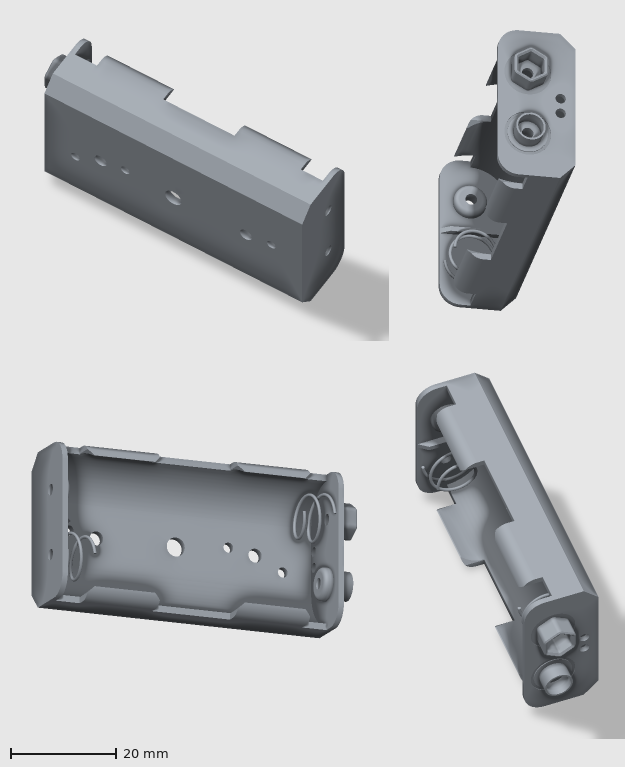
import cadquery as cq
import math


contact_y = 9.2
contact_z = 6.4
cell_radius = 7.6
bore_radius = 1.1

length = 58.0
width = 30.5
height = 15.0
end_wall = 1.1
floor_chamfer = 3.0
end_wall_fillet = 4.0
floor = contact_y - cell_radius
inner_length = length - 2 * end_wall
inner_face_x = inner_length / 2

lip_height = 13.5
lip_fillet = 3.0
lip_reach = 2.4
lip_corner_chamfer = 1.25
lip_length = 14.9
lip_center_x = 15.5
low_wall_height = 9.05

rib_thickness = 1.0
rib_reach = 1.4
rib_drop = 1.85

screw_radius = 1.85
mount_radius = 1.35
mount_x = 16.35
wire_radius = 1.0
wire_x = 22.05
inner_wire_x = 10.85
wire_z = 1.0
low_wire_z = 2.7
floor_holes = [
    (screw_radius, 0, 0),
    (mount_radius, -mount_x, 0),
    (mount_radius, mount_x, 0),
    (wire_radius, -inner_wire_x, wire_z),
    (wire_radius, wire_x, wire_z),
    (wire_radius, -wire_x, -low_wire_z),
]

end_wire_y = 2.85
end_wire_z = 1.55

flange_radius = 4.5
flange_seat_depth = 0.5
flange_thickness = 0.3

socket_length = 3.9
socket_across_flats = 6.5
socket_wall = 0.75
socket_corner_radius = 1.0
socket_pocket_corner_radius = 0.45
socket_outer_chamfer = 0.25
socket_inner_chamfer = 0.4

stud_length = 3.15
stud_radius = 2.85
stud_inner_radius = 2.5
stud_pad_radius = 3.9

button_radius = 3.2
button_height = 1.75
button_fillet = 0.9

spring_wire_radius = 0.3
spring_base_radius = 4.75
spring_pitch = 3.05
spring_turns = 2
spring_radius_loss = 0.4


def block(x_size, y_range, z_size, x_center=0):
    """Box centred on Z that spans y_range."""
    bottom, top = y_range
    box = cq.Workplane("XY").box(x_size, top - bottom, z_size)
    return box.translate((x_center, (bottom + top) / 2, 0))


def rounded_block(x_size, y_range, z_size, chamfer, fillet):
    """Box with its two floor edges chamfered and its two open-side edges rounded."""
    body = block(x_size, y_range, z_size)
    return body.edges("|X and <Y").chamfer(chamfer).edges("|X and >Y").fillet(fillet)


def x_cylinder(radius, start_x, end_x, y, z):
    return cq.Workplane("YZ", origin=(start_x, y, z)).circle(radius).extrude(end_x - start_x)


def lip_notches():
    """Gaps in the upper side walls, which leave two lips on each side."""
    outer_end = lip_center_x + lip_length / 2
    inner_end = lip_center_x - lip_length / 2
    end_gap = inner_face_x - outer_end
    span = (low_wall_height, height)
    notches = block(2 * inner_end, span, width)
    for side in (-1, 1):
        notches = notches.union(block(end_gap, span, width, side * (outer_end + end_gap / 2)))
    return notches


def lip_opening():
    """Opening between facing lips, widened at the ends of each lip to chamfer its corners."""
    opening_width = width - 2 * lip_reach
    span = (low_wall_height, height)
    opening = block(inner_length, span, opening_width)
    for lip_x in (-lip_center_x, lip_center_x):
        window = block(lip_length, span, width, lip_x)
        for side in (-1, 1):
            center_z = side * width / 2
            lip = block(lip_length, span, 2 * lip_reach, lip_x).edges("|Y").chamfer(lip_corner_chamfer)
            window = window.cut(lip.translate((0, 0, center_z)))
        opening = opening.union(window)
    return opening


def cell_cavity():
    """Space for both cells: round along the side walls and flat over the middle of the floor."""
    cavity = block(inner_length, (floor, lip_height), 2 * contact_z)
    for side in (-1, 1):
        channel = x_cylinder(cell_radius, -inner_face_x, inner_face_x, contact_y, side * contact_z)
        cavity = cavity.union(channel)
    return cavity


def trough():
    """Floor and side walls with the lips."""
    outer = rounded_block(inner_length, (0, lip_height), width, floor_chamfer, lip_fillet)
    return outer.cut(cell_cavity()).cut(lip_opening()).cut(lip_notches())


def end_walls():
    profile = rounded_block(length, (0, height), width, floor_chamfer, end_wall_fillet)
    return profile.cut(block(inner_length, (0, height), width))


def rib():
    tip_x = inner_face_x - rib_reach
    return (
        cq.Workplane("XY")
        .moveTo(inner_face_x, floor)
        .lineTo(inner_face_x, height)
        .lineTo(tip_x, height - rib_drop)
        .lineTo(tip_x, floor)
        .close()
        .extrude(rib_thickness / 2, both=True)
    )


def make_housing():
    body = trough().union(end_walls()).union(rib())
    for radius, x, z in floor_holes:
        body = body.cut(cq.Workplane("XZ", origin=(x, 0, z)).circle(radius).extrude(-floor))
    seat_x = -length / 2 + flange_seat_depth
    for side in (-1, 1):
        body = body.cut(
            x_cylinder(wire_radius, -length / 2, -inner_face_x, end_wire_y, side * end_wire_z)
        )
        body = body.cut(x_cylinder(flange_radius, -length / 2, seat_x, contact_y, side * contact_z))
        body = body.cut(x_cylinder(bore_radius, -length / 2, length / 2, contact_y, side * contact_z))
    return body.cut(x_cylinder(stud_radius, -length / 2, -inner_face_x, contact_y, -contact_z))


def hex_prism(across_flats, start_x, end_x):
    return (
        cq.Workplane("YZ", origin=(start_x, contact_y, contact_z))
        .transformed(rotate=(0, 0, 90))
        .polygon(6, across_flats / math.cos(math.pi / 6))
        .extrude(end_x - start_x)
    )


def make_socket_terminal():
    """Hexagonal snap socket on a round flange."""
    tip_x = -length / 2 - socket_length
    seat_x = -length / 2 + flange_seat_depth
    flange_face_x = seat_x - flange_thickness
    inner_flats = socket_across_flats - 2 * socket_wall
    socket = hex_prism(socket_across_flats, tip_x, flange_face_x)
    socket = socket.edges("|X").fillet(socket_corner_radius)
    socket = socket.faces("<X").chamfer(socket_outer_chamfer)
    pocket = hex_prism(inner_flats, tip_x, flange_face_x)
    socket = socket.cut(pocket.edges("|X").fillet(socket_pocket_corner_radius))
    mouth = socket.faces("<X").val().innerWires()
    socket = socket.newObject(mouth).chamfer(socket_inner_chamfer)
    flange = x_cylinder(flange_radius, flange_face_x, seat_x, contact_y, contact_z)
    bore = x_cylinder(bore_radius, flange_face_x, seat_x, contact_y, contact_z)
    return socket.union(flange).cut(bore)


def make_button(z, wall_x, direction):
    """Bored contact button that stands on a wall face and points along X in the given direction."""
    button = cq.Workplane("YZ", origin=(wall_x, contact_y, z)).circle(button_radius)
    button = button.extrude(direction * button_height)
    tip = ">X" if direction > 0 else "<X"
    button = button.faces(tip).edges().fillet(button_fillet)
    return button.cut(x_cylinder(bore_radius, -length / 2, length / 2, contact_y, z))


def make_stud_terminal():
    """Round snap stud whose shank passes through the end wall to a contact button."""
    outer_x = -length / 2
    seat_x = outer_x + flange_seat_depth
    z = -contact_z
    body = x_cylinder(stud_radius, outer_x - stud_length, -inner_face_x, contact_y, z)
    body = body.union(x_cylinder(flange_radius, seat_x - flange_thickness, seat_x, contact_y, z))
    body = body.union(x_cylinder(stud_pad_radius, outer_x, seat_x, contact_y, z))
    body = body.cut(x_cylinder(stud_inner_radius, outer_x - stud_length, outer_x, contact_y, z))
    body = body.cut(x_cylinder(bore_radius, outer_x, -inner_face_x, contact_y, z))
    return body.union(make_button(z, -inner_face_x, 1))


def make_spring():
    """Conical spring on the -X end wall."""
    taper = math.degrees(math.atan(spring_radius_loss / spring_pitch))
    path = cq.Wire.makeHelix(
        spring_pitch, spring_turns * spring_pitch, spring_base_radius, angle=-taper
    )
    spring = (
        cq.Workplane("XZ", origin=(spring_base_radius, 0, 0))
        .circle(spring_wire_radius)
        .sweep(cq.Workplane(path), isFrenet=True)
    )
    spring = spring.rotate((0, 0, 0), (0, 1, 0), 90).rotate((0, 0, 0), (1, 0, 0), 90)
    return spring.translate((-inner_face_x + spring_wire_radius, contact_y, contact_z))


housing = make_housing()
socket_terminal = make_socket_terminal()
stud_terminal = make_stud_terminal()
button = make_button(contact_z, inner_face_x, -1)

springs = [make_spring().rotate((0, 0, 0), (0, 1, 0), turn).val() for turn in (0, 180)]

result = cq.Compound.makeCompound(
    [housing.val(), socket_terminal.val(), stud_terminal.val(), button.val(), *springs]
)